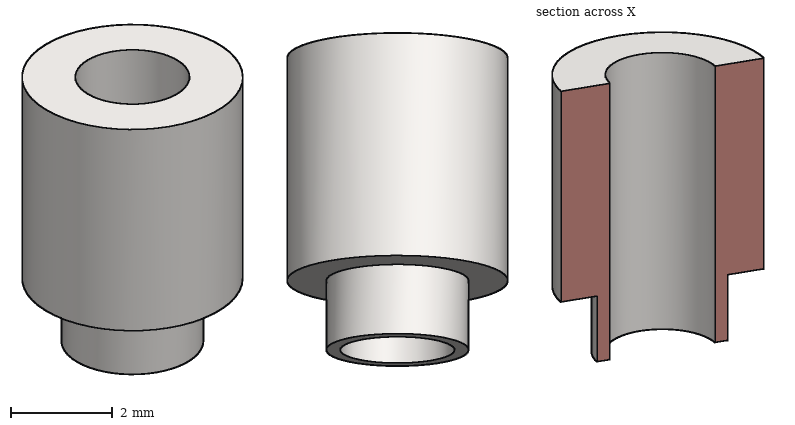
import cadquery as cq

total_height = 5.9
body_diameter = 4.35
spigot_diameter = 2.8
bore_diameter = 2.25
spigot_height = 1.4
body_height = total_height - spigot_height

spigot = cq.Workplane("XY").circle(spigot_diameter / 2).extrude(spigot_height)

stepped_sleeve = (
    spigot.faces(">Z").workplane()
    .circle(body_diameter / 2)
    .extrude(body_height)
)

bore = cq.Workplane("XY").circle(bore_diameter / 2).extrude(total_height)

result = stepped_sleeve.cut(bore)